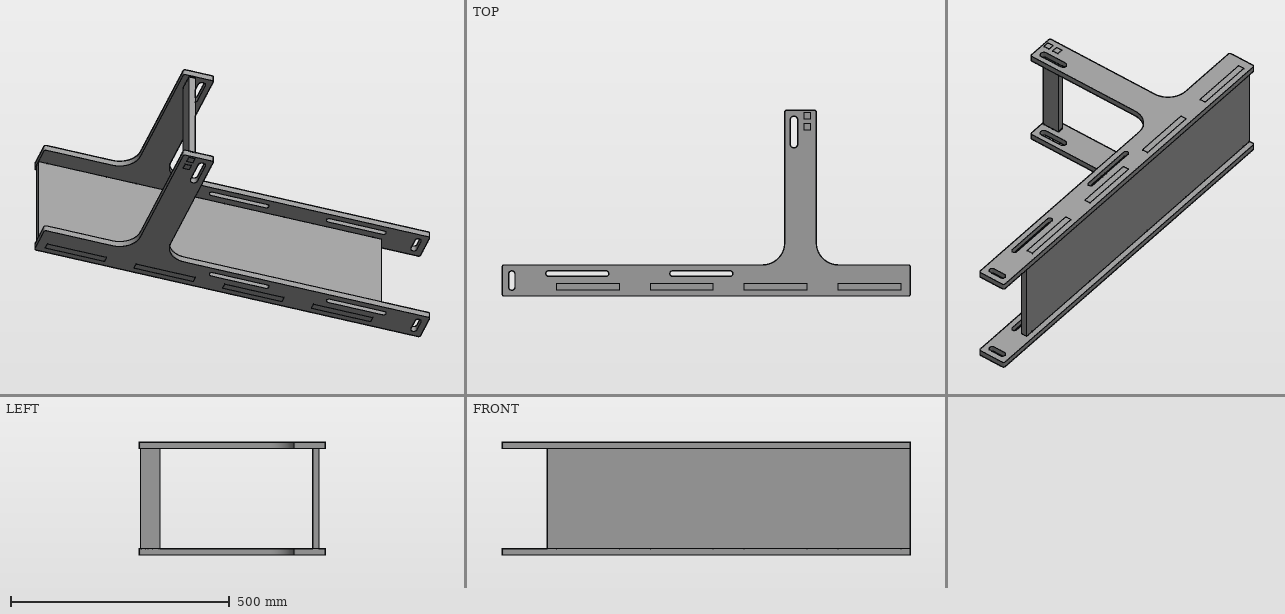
import cadquery as cq

length = 932.0
depth = 425.0
height = 258.0
sheet = 15.0
clear_height = height - 2 * sheet

bar_width = 72.0
arm_width = 73.0
arm_left = 645.0
arm_right = arm_left + arm_width
arm_root_radius = 50.0
corner_radius = 5.0

edge_margin = 14.0
end_slot_left = 15.0
end_slot_width = 14.0
end_slot_length = 44.0
bar_slot_width = 12.0
bar_slot_length = 144.0
bar_slot_start = 100.0
bar_slot_pitch = 283.0
bar_slot_count = 2
arm_slot_width = 17.0
arm_slot_length = 72.0
arm_slot_inset = 13.0
arm_slot_end_margin = 14.0

panel_left = 103.0
panel_length = length - panel_left
panel_front = edge_margin
panel_tab_length = 144.0
panel_tab_pitch = 214.0
panel_tab_count = 4
panel_tab_middle = panel_left + panel_length / 2

brace_width = 45.0
brace_end_margin = 3.0
brace_right_margin = 14.0
brace_left = arm_right - brace_right_margin - sheet
brace_middle = depth - brace_end_margin - brace_width / 2
brace_tab_size = 15.0
brace_tab_pitch = 25.0
brace_tab_count = 2


def box(x, y, z, size_x, size_y, size_z):
    """Box whose lowest corner is at (x, y, z)."""
    return cq.Workplane("XY").box(size_x, size_y, size_z, centered=False).translate((x, y, z))


def centered_starts(middle, pitch, count, size):
    """Starting edges of equally spaced features centred on a point."""
    first_center = middle - pitch * (count - 1) / 2
    return [first_center + i * pitch - size / 2 for i in range(count)]


def panel_tabs():
    """Full-height bars whose ends form the tabs of the panel."""
    starts = centered_starts(panel_tab_middle, panel_tab_pitch, panel_tab_count, panel_tab_length)
    return [box(x, panel_front, 0, panel_tab_length, sheet, height) for x in starts]


def brace_tabs():
    """Full-height bars whose ends form the tabs of the brace."""
    starts = centered_starts(brace_middle, brace_tab_pitch, brace_tab_count, brace_tab_size)
    return [box(brace_left, y, 0, sheet, brace_tab_size, height) for y in starts]


def round_slot(x, y, size_x, size_y):
    """Cutter for a round-ended slot, placed by the lowest corner of its bounds."""
    radius = min(size_x, size_y) / 2
    cutter = cq.Workplane("XY").center(x + size_x / 2, y + size_y / 2)
    if size_x > size_y:
        cutter = cutter.slot2D(size_x, 2 * radius)
    else:
        cutter = cutter.slot2D(size_y, 2 * radius, 90)
    return cutter.extrude(sheet)


def plate_blank():
    """T-shaped sheet with rounded corners, lying on Z = 0."""
    outline = [
        (0, 0), (length, 0), (length, bar_width), (arm_right, bar_width),
        (arm_right, depth), (arm_left, depth), (arm_left, bar_width), (0, bar_width),
    ]
    root_corners = [(arm_left, bar_width), (arm_right, bar_width)]
    blank = cq.Workplane("XY").polyline(outline).close().extrude(sheet)
    for x, y in outline:
        edge = cq.selectors.NearestToPointSelector((x, y, sheet / 2))
        radius = arm_root_radius if (x, y) in root_corners else corner_radius
        blank = blank.edges("|Z").edges(edge).fillet(radius)
    return blank


def make_plate(z):
    """Slotted T plate with its lower face at height z."""
    slot_top = bar_width - edge_margin
    plate = plate_blank()
    plate = plate.cut(round_slot(end_slot_left, slot_top - end_slot_length, end_slot_width, end_slot_length))
    for i in range(bar_slot_count):
        x = bar_slot_start + i * bar_slot_pitch
        plate = plate.cut(round_slot(x, slot_top - bar_slot_width, bar_slot_length, bar_slot_width))
    arm_slot_start = depth - arm_slot_end_margin - arm_slot_length
    plate = plate.cut(round_slot(arm_left + arm_slot_inset, arm_slot_start, arm_slot_width, arm_slot_length))
    plate = plate.translate((0, 0, z))
    for tab in panel_tabs() + brace_tabs():
        plate = plate.cut(tab)
    return plate


def make_panel():
    """Long upright panel between the plates, with tabs above and below."""
    panel = box(panel_left, panel_front, sheet, panel_length, sheet, clear_height)
    for tab in panel_tabs():
        panel = panel.union(tab)
    return panel


def make_brace():
    """Short upright brace at the free end of the arms, with tabs above and below."""
    brace = box(brace_left, brace_middle - brace_width / 2, sheet, sheet, brace_width, clear_height)
    for tab in brace_tabs():
        brace = brace.union(tab)
    return brace


plates = [make_plate(z) for z in (0, height - sheet)]
panel = make_panel()
brace = make_brace()

result = cq.Compound.makeCompound([*[plate.val() for plate in plates], panel.val(), brace.val()])